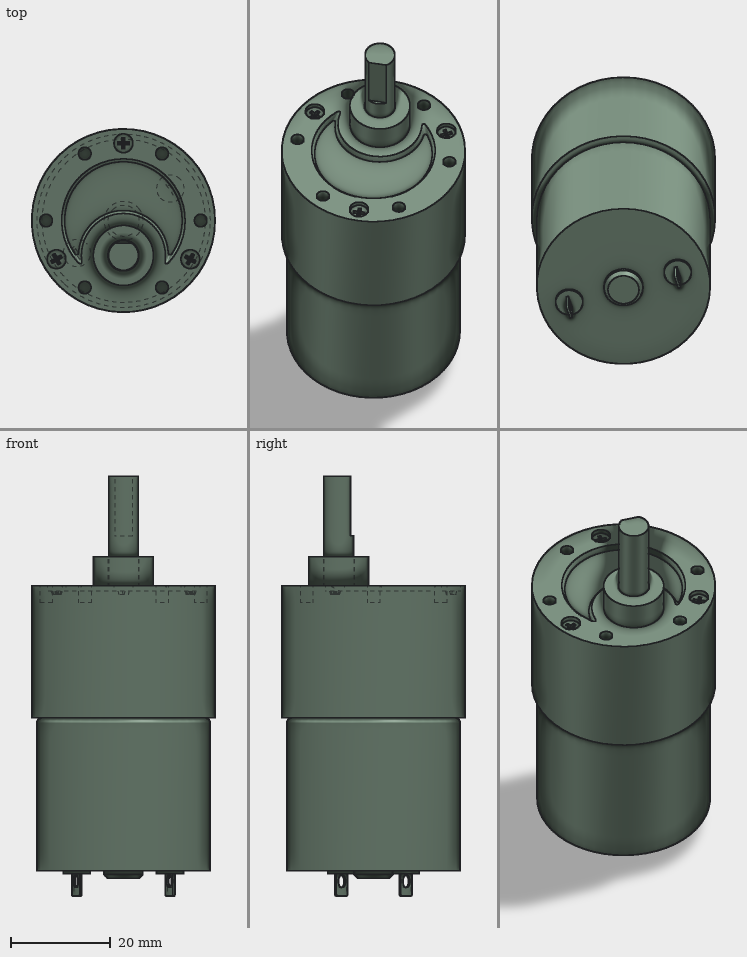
import cadquery as cq


total_height = 84.2
terminal_length = 5.05
motor_height = 30.65
gearbox_height = 26.5
gearbox_top = motor_height + gearbox_height
shaft_top = total_height - terminal_length

motor_diameter = 34.8
motor_edge_radius = 1.0

gearbox_diameter = 36.8

shaft_offset = -7.0
boss_diameter = 12.0
boss_height = 5.8
shaft_diameter = 6.0
bore_diameter = 6.2
flat_length = 11.95
flat_depth = 0.6

hole_circle_radius = 15.5
mount_hole_diameter = 2.5
mount_hole_depth = 3.4
mount_hole_count = 6
screw_count = 3
first_screw_angle = 90.0
screw_hole_diameter = 3.8
screw_head_depth = 1.0
cross_length = 2.3
cross_width = 0.6
cross_depth = 0.75
cross_taper = 15.0

recess_depth = 1.0
recess_wall_run = 0.6
recess_tip_radius = 0.5
recess_outer_radius = 12.4
recess_island_radius = 8.4

cap_diameter = 7.8
cap_tip_diameter = 6.2
cap_height = 1.5
cap_chamfer = (cap_diameter - cap_tip_diameter) / 2

terminal_radius = 11.4
terminal_angle = 34.6
insulator_diameter = 5.5
insulator_height = 0.6
tab_width = 2.8
tab_thickness = 0.5
tab_corner_radius = 0.4
slot_width = 1.5
slot_length = 2.4
slot_center_depth = 2.1
terminal_count = 2


def cylinder(diameter, height, base_z, x=0.0, y=0.0):
    return cq.Workplane("XY", origin=(x, y, base_z)).circle(diameter / 2).extrude(height)


def cone(bottom_radius, top_radius, height, base_z, y=0.0):
    solid = cq.Solid.makeCone(bottom_radius, top_radius, height, cq.Vector(0, y, base_z))
    return cq.Workplane(solid)


def ring_angles(count, first_angle):
    return [first_angle + i * 360.0 / count for i in range(count)]


def housing():
    motor = cylinder(motor_diameter, motor_height, 0).faces(">Z").edges().fillet(motor_edge_radius)
    gearbox = cylinder(gearbox_diameter, gearbox_height, motor_height)
    return motor.union(gearbox)


def output_shaft():
    """Shaft with a flat, standing in the clearance bore of the boss."""
    boss = cylinder(boss_diameter, boss_height, gearbox_top, y=shaft_offset)
    shaft = cylinder(shaft_diameter, shaft_top - gearbox_top, gearbox_top, y=shaft_offset)
    flat_y = shaft_offset + shaft_diameter / 2 - flat_depth
    flat_cut = cq.Workplane("XY", origin=(0, flat_y, shaft_top - flat_length)).box(
        shaft_diameter, shaft_diameter, flat_length, centered=(True, False, False)
    )
    bore = cylinder(bore_diameter, boss_height, gearbox_top, y=shaft_offset)
    return boss.cut(bore).union(shaft.cut(flat_cut))


def crescent_recess():
    floor_z = gearbox_top - recess_depth
    disc = cone(recess_outer_radius - recess_wall_run, recess_outer_radius, recess_depth, floor_z)
    island = cone(
        recess_island_radius + recess_wall_run, recess_island_radius, recess_depth, floor_z, shaft_offset
    )
    crescent = disc.cut(island)
    return crescent.edges("not (%CIRCLE or %LINE)").fillet(recess_tip_radius)


def mount_holes():
    return (
        cq.Workplane("XY", origin=(0, 0, gearbox_top))
        .polarArray(hole_circle_radius, 0, 360, mount_hole_count)
        .circle(mount_hole_diameter / 2)
        .extrude(-mount_hole_depth)
    )


def screw_recess(angle):
    """Sunk screw head with a tapered cross drive, placed at an angle on the hole circle."""
    head_z = gearbox_top - screw_head_depth
    recess = cylinder(screw_hole_diameter, screw_head_depth, head_z, x=hole_circle_radius)
    drive = cq.Workplane("XY", origin=(hole_circle_radius, 0, head_z))
    for length_x, length_y in ((cross_length, cross_width), (cross_width, cross_length)):
        slot = drive.rect(length_x, length_y).extrude(-cross_depth, taper=cross_taper, combine=False)
        recess = recess.union(slot)
    return recess.rotate((0, 0, 0), (0, 0, 1), angle)


def bearing_cap():
    return cylinder(cap_diameter, cap_height, -cap_height).faces("<Z").chamfer(cap_chamfer)


def terminal(angle):
    """Slotted tab on a round insulator, its broad faces square to the radius."""
    insulator = cylinder(insulator_diameter, insulator_height, -insulator_height, x=terminal_radius)
    tab = (
        cq.Workplane("XY", origin=(terminal_radius, 0, -terminal_length))
        .box(tab_thickness, tab_width, terminal_length, centered=(True, True, False))
        .faces("<Z").edges("|X").fillet(tab_corner_radius)
    )
    slot = (
        cq.Workplane("YZ", origin=(terminal_radius, 0, -slot_center_depth))
        .slot2D(slot_length, slot_width, 90)
        .extrude(tab_thickness, both=True)
    )
    return insulator.union(tab.cut(slot)).rotate((0, 0, 0), (0, 0, 1), angle)


result = housing().cut(crescent_recess()).cut(mount_holes())
for screw_angle in ring_angles(screw_count, first_screw_angle):
    result = result.cut(screw_recess(screw_angle))
result = result.union(output_shaft()).union(bearing_cap())
for side_angle in ring_angles(terminal_count, terminal_angle):
    result = result.union(terminal(side_angle))